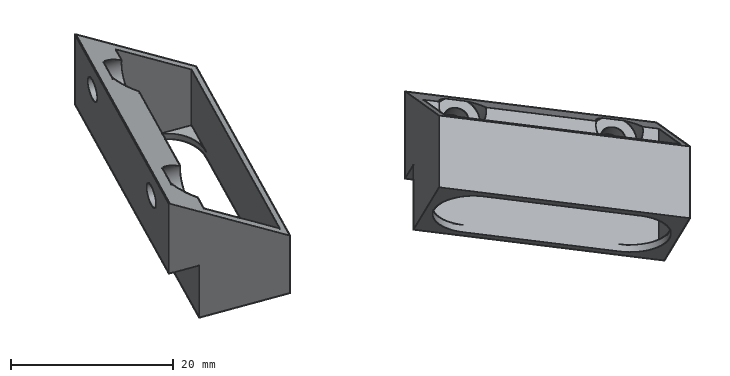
import cadquery as cq
import math

length = 32.0
depth = 16.0
height = 21.0

overhang = 4.0
overhang_bottom = 9.0
slope_angle = 35.0
top_land = 0.13

wall = 1.0
floor_height = wall

hole_diameter = 3.2
head_diameter = 6.0
hole_spacing = 20.0
hole_drop = 4.0
head_seat = 2.0

back_height = height - (depth - top_land) * math.tan(math.radians(slope_angle))
cavity_length = length - 2 * wall
cavity_width = depth - overhang - 2 * wall
cavity_center_y = (overhang + depth) / 2
hole_z = height - hole_drop


def make_body():
    """Side profile in the YZ plane, extruded along X and centred on X = 0."""
    profile = [
        (0, overhang_bottom),
        (overhang, overhang_bottom),
        (overhang, 0),
        (depth, 0),
        (depth, back_height),
        (top_land, height),
        (0, height),
    ]
    return cq.Workplane("YZ").polyline(profile).close().extrude(length / 2, both=True)


def make_cavity():
    """Rectangular pocket open at the top, with a rounded slot through its floor."""
    base = cq.Workplane("XY").center(0, cavity_center_y)
    slot = base.slot2D(cavity_length, cavity_width).extrude(height)
    pocket = base.workplane(offset=floor_height).rect(cavity_length, cavity_width).extrude(height)
    return slot.union(pocket)


def make_screw_hole(x):
    """Hole along Y, with a head counterbore that ends at mid-cavity."""
    axis_start = cq.Workplane("XZ", origin=(x, 0, hole_z))
    shank = axis_start.circle(hole_diameter / 2).extrude(-cavity_center_y)
    head_start = axis_start.workplane(offset=-head_seat)
    head = head_start.circle(head_diameter / 2).extrude(head_seat - cavity_center_y)
    return shank.union(head)


result = make_body().cut(make_cavity())
for side in (-1, 1):
    result = result.cut(make_screw_hole(side * hole_spacing / 2))